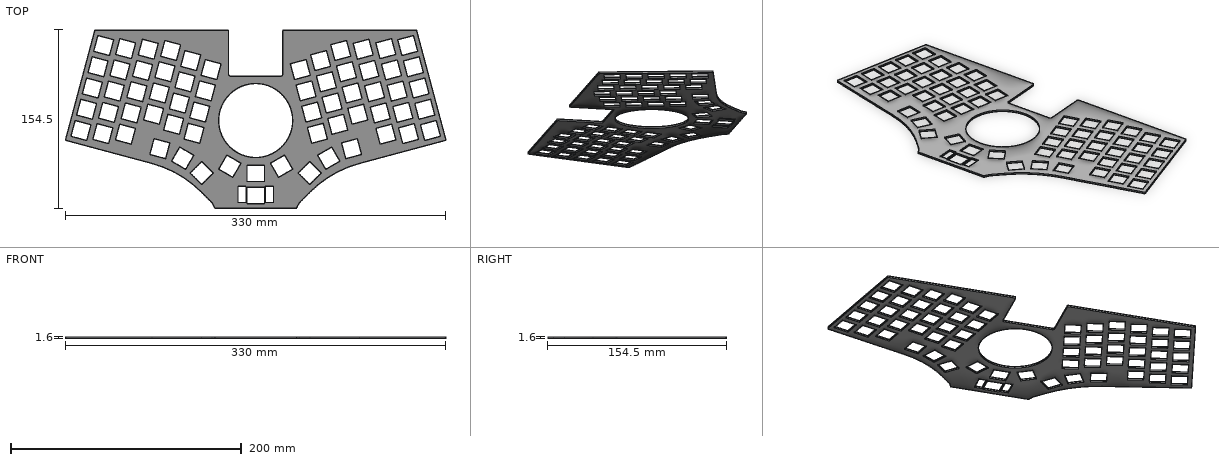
import cadquery as cq
import math


half_width = 165.0
height = 154.5
thickness = 1.6
top_y = 78.5
bottom_y = top_y - height
bottom_half_width = 35.3
notch_half_width = 23.5
notch_floor_y = 38.5

wing_angle = 15.0
wing_cos = math.cos(math.radians(wing_angle))
wing_sin = math.sin(math.radians(wing_angle))

lower_corner_y = -17.0
inner_corner_x = -65.3
steep_start_y = -71.2
lower_edge_radius = 95.5

corner_radius = 1.0
notch_floor_radius = 1.5

round_opening_diameter = 64.0
key_diagonal = 19.8
key_size = key_diagonal / math.sqrt(2)
five_pitches = 95.3
key_pitch = five_pitches / 5

outermost_column = -144.0
key_columns = [(28.7, 5), (31.0, 5), (35.5, 5), (39.5, 4), (35.5, 4), (32.5, 4)]

thumb_keys = [
    (-83.0, -24.5, -wing_angle),
    (-63.3, -32.5, -30.0),
    (-46.8, -45.5, -45.0),
    (-22.5, -39.5, -30.0),
]

centre_key_width = 15.0
upper_centre_key_y = -45.8
lower_centre_key_y = -65.0
side_slot_width = 7.0
side_slot_x = 12.0
side_slot_y = -64.0


def wing_point(along_row, along_column):
    """Turn left wing coordinates into plate X, Y."""
    x = along_row * wing_cos + along_column * wing_sin
    y = along_column * wing_cos - along_row * wing_sin
    return x, y


def window(x, y, width, length, angle=0.0):
    """Cutter for a rectangular opening through the plate."""
    cutter = cq.Workplane("XY").rect(width, length).extrude(thickness)
    return cutter.rotate((0, 0, 0), (0, 0, 1), angle).translate((x, y, 0))


def half_plate():
    """Left half of the plate, with its corners rounded."""
    lower_x = -half_width - corner_radius * (wing_cos + wing_sin - 1)
    wing_slope = wing_sin / wing_cos
    lower_corner = (lower_x, lower_corner_y)
    upper_corner = (lower_x + (top_y - lower_corner_y) * wing_slope, top_y)
    inner_corner_y = lower_corner_y - (inner_corner_x - lower_x) * wing_slope
    inner_corner = (inner_corner_x, inner_corner_y)
    steep_start_x = inner_corner_x + inner_corner_y - steep_start_y
    notch_top = (-notch_half_width, top_y)
    notch_floor = (-notch_half_width, notch_floor_y)

    plate = (
        cq.Workplane("XY")
        .moveTo(0, notch_floor_y)
        .lineTo(*notch_floor)
        .lineTo(*notch_top)
        .lineTo(*upper_corner)
        .lineTo(*lower_corner)
        .lineTo(*inner_corner)
        .lineTo(steep_start_x, steep_start_y)
        .lineTo(-bottom_half_width, bottom_y)
        .lineTo(0, bottom_y)
        .close()
        .extrude(thickness)
    )
    roundings = [
        (upper_corner, corner_radius),
        (lower_corner, corner_radius),
        (notch_top, corner_radius),
        (notch_floor, notch_floor_radius),
        (inner_corner, lower_edge_radius),
    ]
    for (x, y), radius in roundings:
        corner_edge = cq.NearestToPointSelector((x, y, thickness / 2))
        plate = plate.edges("|Z").edges(corner_edge).fillet(radius)
    return plate


def left_openings():
    """Cutters for every opening left of the middle."""
    cutters = [window(-side_slot_x, side_slot_y, side_slot_width, key_size)]
    for column, (top_key, key_count) in enumerate(key_columns):
        for row in range(key_count):
            x, y = wing_point(outermost_column + column * key_pitch, top_key - row * key_pitch)
            cutters.append(window(x, y, key_size, key_size, -wing_angle))
    for x, y, angle in thumb_keys:
        cutters.append(window(x, y, key_size, key_size, angle))
    return cutters


left_half = half_plate()
for cutter in left_openings():
    left_half = left_half.cut(cutter)

plate = left_half.union(left_half.mirror("YZ")).clean()

for key_y in (upper_centre_key_y, lower_centre_key_y):
    plate = plate.cut(window(0, key_y, centre_key_width, key_size))

round_opening = cq.Workplane("XY").circle(round_opening_diameter / 2).extrude(thickness)
result = plate.cut(round_opening)